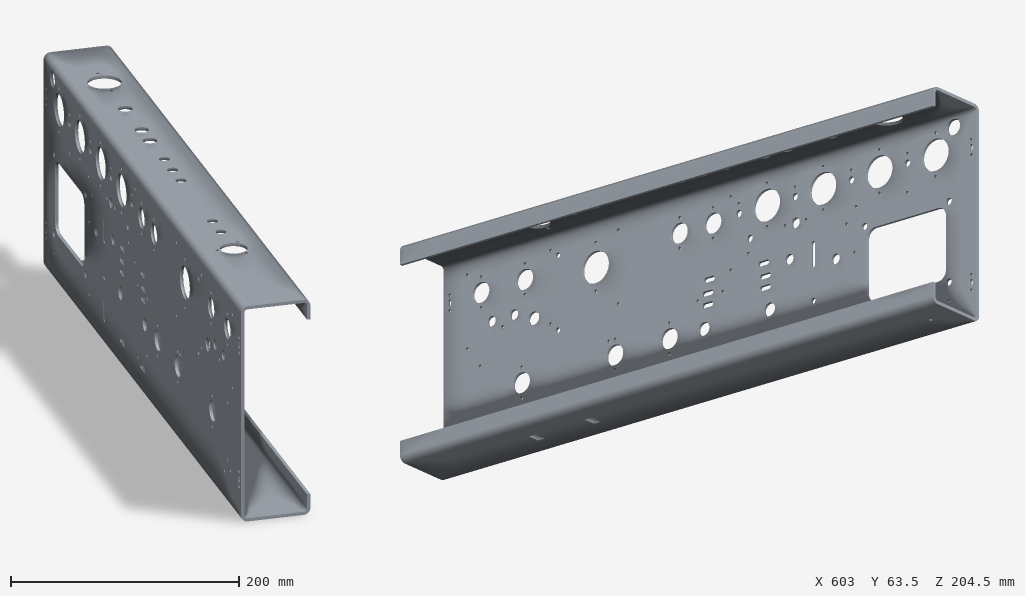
import cadquery as cq

LENGTH = 603.0
DEPTH = 63.5
HEIGHT = 204.5
SHEET = 3.0
BEND_RADIUS = 6.0
LIP_HEIGHT = 19.5
MID_HEIGHT = HEIGHT / 2

SCREW = 3.45
POST = 5.3
LAMP = 6.5
SHAFT = 9.5
BUSHING = 12.5
SMALL_SOCKET = 19.5
LARGE_SOCKET = 30.0

SOCKET_COUNT = 4
SOCKET_ROW_X = 47.0
SOCKET_ROW_END_X = 237.5
SOCKET_ROW_Z = 169.0
SOCKET_PITCH = (SOCKET_ROW_END_X - SOCKET_ROW_X) / (SOCKET_COUNT - 1)
ROW_SCREW_OFFSET = 20.5
LAMP_SCREW_Z = 178.0

LONE_SOCKET = (431.5, 158.5)
LONE_SCREW_OFFSET = 23.0
SMALL_SCREW_OFFSET = 14.5
UPPER_SOCKETS_X = (298.5, 336.5, 511.5, 561.0)
UPPER_SOCKETS_Z = 167.0
LOWER_SOCKETS_X = (348.0, 409.5, 515.0)
LOWER_SOCKETS_Z = 70.5

WINDOW_CENTER = (79.5, 83.0)
WINDOW_WIDTH = 89.0
WINDOW_HEIGHT = 69.5
WINDOW_CORNER = 9.0
WINDOW_HOLES_DX = 95.5
WINDOW_HOLES_DZ = 76.0

SLOT_WIDTH = 4.75
TALL_SLOTS_X = 185.0
TALL_SLOTS = ((110.0, 25.0), (33.0, 20.5))
FLAT_SLOT = 12.5
FLAT_SLOTS = ((241.0, 115.0), (239.5, 102.5), (239.5, 91.5), (303.0, 115.0), (304.5, 102.5), (304.5, 91.5))
LONG_FLAT_SLOT = 15.0
LONG_FLAT_SLOTS = ((240.5, 26.0), (303.0, 26.0))

END_GROUP_INSET = 6.5
END_GROUP_DZ = 127.0
END_SCREW_OFFSET = 7.0
END_SLOT_LENGTH = 6.5
END_SLOT_WIDTH = 3.3

CORNER_HOLE = 15.0
CORNER_HOLE_CENTER = (26.5, 190.0)
BUSHINGS = ((234.5, 70.0), (309.0, 70.0), (501.0, 128.0))
SHAFTS = ((205.0, 144.0), (212.5, 111.5), (160.0, 99.0), (523.5, 137.0), (549.0, 137.0))
SHAFT_SCREWS_X = (193.5, 217.0)
SHAFT_SCREWS_Z = 144.0
SINGLE_LAMP = (257.0, 142.5)
POSTS = ((474.0, 180.5), (474.0, 110.0), (185.0, 66.0))
UPPER_BOARDS_X = (279.0, 406.0, 482.5, 577.0)
UPPER_BOARDS_Z = (187.0, 117.5)
LOWER_BOARDS_X = (139.0, 288.0)
LOWER_BOARDS_Z = (99.5, 31.0)
WIDE_BOARD_X = (316.0, 562.0)
WIDE_BOARD_Z = (98.0, 43.5)
LOOSE_SCREWS = (
    (79.0, 141.0),
    (137.0, 142.5),
    (148.0, 128.5),
    (259.0, 128.5),
    (537.0, 128.5),
    (417.0, 85.0),
    (571.0, 36.0),
    (552.5, 29.0),
    (32.0, 27.0),
)

FLANGE_LINE_Y = 32.0
TOP_SOCKET_X = 79.0
TOP_SOCKET_SCREW_OFFSET = 20.5
TOP_BUSHINGS_X = (142.5, 192.5, 218.0)
TOP_SHAFTS_X = (262.0, 287.0, 312.5, 409.0, 434.5)
CONNECTOR = 24.0
CONNECTOR_X = 473.5
CONNECTOR_BOLT_RADIUS = 15.0
CONNECTOR_BOLT_COUNT = 3
CONNECTOR_BOLT_START = 30

BOTTOM_SLOTS_X = (411.0, 474.0)
BOTTOM_SLOT_WIDTH = 7.0
BOTTOM_SLOT_LENGTH = 12.5
BOTTOM_SCREW_X = 28.5


def folded_sheet():
    """C-shaped channel with a lip along the rear edge of both flanges."""

    def bar(inset):
        bent = cq.Workplane("XY").box(
            LENGTH, DEPTH - 2 * inset, HEIGHT - 2 * inset, centered=(False, True, True)
        )
        bent = bent.edges("|X").fillet(BEND_RADIUS - inset)
        return bent.translate((0, DEPTH / 2, MID_HEIGHT))

    rear_opening = cq.Workplane("XY").box(
        LENGTH, 2 * SHEET, HEIGHT - 2 * LIP_HEIGHT, centered=(False, True, True)
    )
    return bar(0).cut(bar(SHEET)).cut(rear_opening.translate((0, DEPTH, MID_HEIGHT)))


def grid(columns, rows):
    return [(x, z) for x in columns for z in rows]


def pair(center, offset):
    """Points the same distance above and below a center."""
    x, z = center
    return [(x, z - offset), (x, z + offset)]


def plate():
    return cq.Workplane("XZ")


def plate_holes(points, diameter):
    return plate().pushPoints(points).circle(diameter / 2).extrude(-2 * SHEET)


def plate_slots(points, length, width, angle):
    return plate().pushPoints(points).slot2D(length, width, angle).extrude(-2 * SHEET)


def flange_plane(z):
    return cq.Workplane("XY", origin=(0, 0, z - SHEET))


def flange_holes(points, diameter, z):
    return flange_plane(z).pushPoints(points).circle(diameter / 2).extrude(2 * SHEET)


def socket_cutters():
    row = [(SOCKET_ROW_X + i * SOCKET_PITCH, SOCKET_ROW_Z) for i in range(SOCKET_COUNT)]
    lamps_x = [x + SOCKET_PITCH / 2 for x, z in row]
    small = grid(UPPER_SOCKETS_X, [UPPER_SOCKETS_Z]) + grid(LOWER_SOCKETS_X, [LOWER_SOCKETS_Z])

    screws = grid(lamps_x, [LAMP_SCREW_Z]) + pair(LONE_SOCKET, LONE_SCREW_OFFSET)
    for center in row:
        screws += pair(center, ROW_SCREW_OFFSET)
    for center in small:
        screws += pair(center, SMALL_SCREW_OFFSET)

    return [
        plate_holes(row + [LONE_SOCKET], LARGE_SOCKET),
        plate_holes(small, SMALL_SOCKET),
        plate_holes(grid(lamps_x, [SOCKET_ROW_Z]), LAMP),
        plate_holes(screws, SCREW),
    ]


def window_cutters():
    opening = plate().center(*WINDOW_CENTER).rect(WINDOW_WIDTH, WINDOW_HEIGHT).extrude(-2 * SHEET)
    holes = plate().center(*WINDOW_CENTER).rect(WINDOW_HOLES_DX, WINDOW_HOLES_DZ, forConstruction=True)
    return [
        opening.edges("|Y").fillet(WINDOW_CORNER),
        holes.vertices().circle(LAMP / 2).extrude(-2 * SHEET),
    ]


def slot_cutters():
    cutters = [
        plate_slots([(TALL_SLOTS_X, z)], length, SLOT_WIDTH, 90) for z, length in TALL_SLOTS
    ]
    cutters.append(plate_slots(FLAT_SLOTS, FLAT_SLOT, SLOT_WIDTH, 0))
    cutters.append(plate_slots(LONG_FLAT_SLOTS, LONG_FLAT_SLOT, SLOT_WIDTH, 0))
    return cutters


def end_group_cutters():
    columns = (END_GROUP_INSET, LENGTH - END_GROUP_INSET)
    rows = (MID_HEIGHT - END_GROUP_DZ / 2, MID_HEIGHT + END_GROUP_DZ / 2)
    centers = grid(columns, rows)
    screws = []
    for center in centers:
        screws += pair(center, END_SCREW_OFFSET)
    return [
        plate_slots(centers, END_SLOT_LENGTH, END_SLOT_WIDTH, 90),
        plate_holes(screws, SCREW),
    ]


def single_hole_cutters():
    screws = list(LOOSE_SCREWS)
    screws += grid(SHAFT_SCREWS_X, [SHAFT_SCREWS_Z])
    screws += grid(UPPER_BOARDS_X, UPPER_BOARDS_Z)
    screws += grid(LOWER_BOARDS_X, LOWER_BOARDS_Z)
    screws += grid(WIDE_BOARD_X, WIDE_BOARD_Z)
    return [
        plate_holes([CORNER_HOLE_CENTER], CORNER_HOLE),
        plate_holes(BUSHINGS, BUSHING),
        plate_holes(SHAFTS, SHAFT),
        plate_holes([SINGLE_LAMP], LAMP),
        plate_holes(POSTS, POST),
        plate_holes(screws, SCREW),
    ]


def top_flange_cutters():
    line = [FLANGE_LINE_Y]
    socket_screws_x = (TOP_SOCKET_X - TOP_SOCKET_SCREW_OFFSET, TOP_SOCKET_X + TOP_SOCKET_SCREW_OFFSET)
    connector_screws = (
        flange_plane(HEIGHT)
        .center(CONNECTOR_X, FLANGE_LINE_Y)
        .polarArray(CONNECTOR_BOLT_RADIUS, CONNECTOR_BOLT_START, 360, CONNECTOR_BOLT_COUNT)
        .circle(SCREW / 2)
        .extrude(2 * SHEET)
    )
    return [
        flange_holes(grid([TOP_SOCKET_X], line), LARGE_SOCKET, HEIGHT),
        flange_holes(grid(socket_screws_x, line), SCREW, HEIGHT),
        flange_holes(grid(TOP_BUSHINGS_X, line), BUSHING, HEIGHT),
        flange_holes(grid(TOP_SHAFTS_X, line), SHAFT, HEIGHT),
        flange_holes(grid([CONNECTOR_X], line), CONNECTOR, HEIGHT),
        connector_screws,
    ]


def bottom_flange_cutters():
    line = [FLANGE_LINE_Y]
    slots = flange_plane(0).pushPoints(grid(BOTTOM_SLOTS_X, line))
    return [
        slots.rect(BOTTOM_SLOT_WIDTH, BOTTOM_SLOT_LENGTH).extrude(2 * SHEET),
        flange_holes(grid([BOTTOM_SCREW_X], line), SCREW, 0),
    ]


result = folded_sheet()
for make_cutters in (
    socket_cutters,
    window_cutters,
    slot_cutters,
    end_group_cutters,
    single_hole_cutters,
    top_flange_cutters,
    bottom_flange_cutters,
):
    for cutter in make_cutters():
        result = result.cut(cutter)